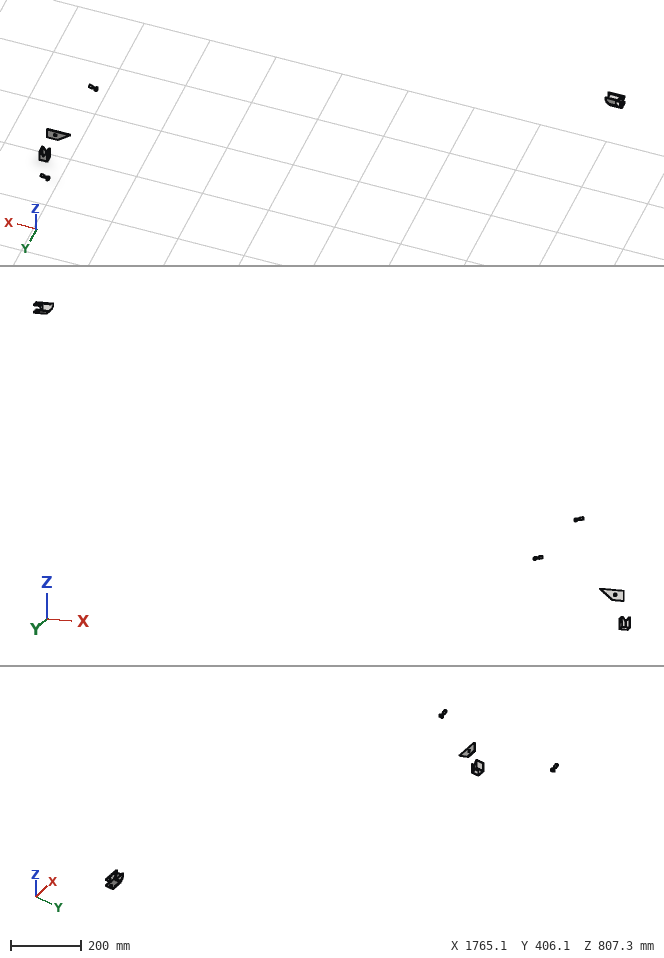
import cadquery as cq
import math

overall_x = 1765.08
overall_y = 406.07
overall_z = 807.28

fork_size = 25.0
fork_length = 50.0
fork_wall = 3.0
fork_center_y = -182.0
tongue_length = 13.0
tongue_root_radius = 6.0
fork_hole_diameter = 8.0
fork_hole_x = 7.5
top_notch_depth = 6.0
top_recess_depth = 1.0
end_shoulder_z = -7.0
end_knee = (46.0, -17.0)
end_foot_x = 36.5

plate_length = 70.0
plate_height = 30.0
plate_thickness = 4.0
plate_foot_length = 33.0
plate_right_x = 865.0
plate_top_z = -294.5
plate_front_y = -188.0
plate_hole_diameter = 8.0
plate_hole_from_right = 25.0
plate_hole_from_top = 14.0

socket_size = 25.0
socket_height = 30.0
socket_wall = 2.0
socket_corner_radius = 2.0
socket_center_y = -179.8
vee_width = 18.0
vee_depth = 13.0
slit_width = 3.0
slit_bottom_z = 2.0
window_height = 6.0
window_top_depth = 6.0

peg_center_y = 196.5
eye_x = 720.4
eye_z = -99.4
eye_diameter = 8.0
eye_width = 8.0
eye_pin_diameter = 5.0
stem_diameter = 5.0
stem_tilt = 16.5
head_diameter = 8.0
head_start = 12.0
head_end = 22.0


def make_fork():
    left_x = -overall_x / 2
    top_z = overall_z / 2
    half = fork_size / 2

    body = (
        cq.Workplane("XZ")
        .polyline([
            (0, 0),
            (fork_length, 0),
            (fork_length, end_shoulder_z),
            end_knee,
            (end_foot_x, -fork_size),
            (0, -fork_size),
        ])
        .close()
        .extrude(half, both=True)
    )

    inner_size = fork_size - 2 * fork_wall
    bore = cq.Workplane("XY").box(fork_length, inner_size, inner_size, centered=(False, True, True))
    body = body.cut(bore.translate((0, 0, -half)))

    mouth_length = tongue_length + tongue_root_radius
    mouth = (
        cq.Workplane("XY")
        .box(mouth_length, fork_size, inner_size, centered=(False, True, True))
        .edges("|Y and >X")
        .fillet(tongue_root_radius)
        .translate((0, 0, -half))
    )
    body = body.cut(mouth)

    recess_length = fork_length - tongue_length
    recess = (
        cq.Workplane("XY")
        .box(recess_length, inner_size, top_recess_depth, centered=(False, True, False))
        .translate((tongue_length, 0, -top_recess_depth))
    )
    body = body.cut(recess)

    notch = cq.Workplane("XY").box(top_notch_depth, inner_size, fork_size, centered=(False, True, True))
    body = body.cut(notch.translate((fork_length - top_notch_depth, 0, 0)))

    pin_hole = (
        cq.Workplane("XY")
        .center(fork_hole_x, 0)
        .circle(fork_hole_diameter / 2)
        .extrude(-fork_size)
    )
    return body.cut(pin_hole).translate((left_x, fork_center_y, top_z))


def make_plate():
    outline = [
        (-plate_length, 0),
        (0, 0),
        (0, -plate_height),
        (-plate_foot_length, -plate_height),
    ]
    body = cq.Workplane("XZ").polyline(outline).close().extrude(-plate_thickness)
    hole = (
        cq.Workplane("XZ")
        .center(-plate_hole_from_right, -plate_hole_from_top)
        .circle(plate_hole_diameter / 2)
        .extrude(-plate_thickness)
    )
    return body.cut(hole).translate((plate_right_x, plate_front_y, plate_top_z))


def make_socket():
    half = socket_size / 2
    inner_size = socket_size - 2 * socket_wall

    body = (
        cq.Workplane("XY")
        .box(socket_size, socket_size, socket_height, centered=(False, True, False))
        .edges("|Z and <X and <Y")
        .fillet(socket_corner_radius)
    )
    bore = cq.Workplane("XY").box(inner_size, inner_size, socket_height, centered=(False, True, False))
    body = body.cut(bore.translate((socket_wall, 0, 0)))

    vee = (
        cq.Workplane("XZ")
        .polyline([
            (half - vee_width / 2, socket_height),
            (half, socket_height - vee_depth),
            (half + vee_width / 2, socket_height),
        ])
        .close()
        .extrude(half, both=True)
    )
    body = body.cut(vee)

    slit = cq.Workplane("XY").box(slit_width, socket_wall, socket_height, centered=(True, False, False))
    body = body.cut(slit.translate((half, -half, slit_bottom_z)))

    window = cq.Workplane("XY").box(socket_wall, inner_size, window_height, centered=(False, True, False))
    window_z = socket_height - window_top_depth - window_height
    body = body.cut(window.translate((0, 0, window_z)))

    left_x = overall_x / 2 - socket_size
    return body.translate((left_x, socket_center_y, -overall_z / 2))


def make_peg(side):
    outward = cq.Vector(0, side, 0)
    center = cq.Vector(eye_x, side * peg_center_y, eye_z)
    tilt = math.radians(stem_tilt)
    stem_direction = cq.Vector(math.cos(tilt), 0, math.sin(tilt))

    eye_base = center - outward * (eye_width / 2)
    eye = cq.Solid.makeCylinder(eye_diameter / 2, eye_width, eye_base, outward)
    pin_length = overall_y / 2 - peg_center_y
    pin = cq.Solid.makeCylinder(eye_pin_diameter / 2, pin_length, center, outward)

    stem = cq.Solid.makeCylinder(stem_diameter / 2, head_end, center, stem_direction)
    head_base = center + stem_direction * head_start
    head_length = head_end - head_start
    head = cq.Solid.makeCylinder(head_diameter / 2, head_length, head_base, stem_direction)
    return cq.Workplane(obj=eye.fuse(pin, stem, head).clean())


fork = make_fork()
plate = make_plate()
socket = make_socket()
pegs = [make_peg(side) for side in (-1, 1)]

result = cq.Compound.makeCompound([
    fork.val(),
    plate.val(),
    socket.val(),
    *[peg.val() for peg in pegs],
])